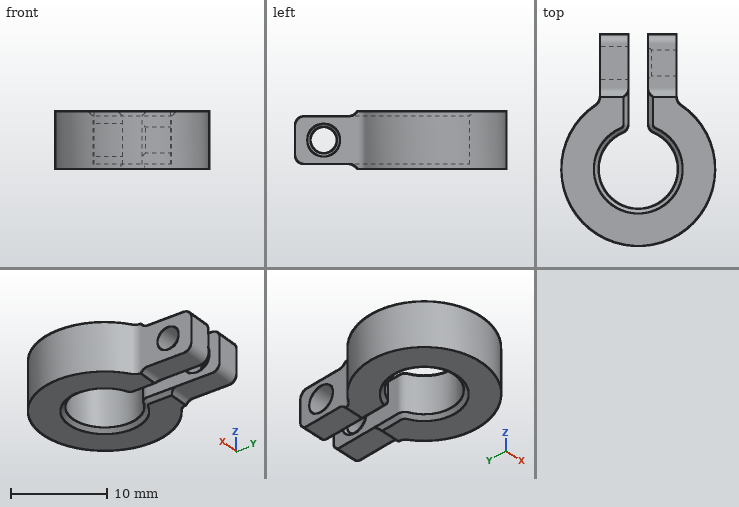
import cadquery as cq
import math

overall_length = 22.0
ring_diameter = 16.0
ring_height = 6.0
bore_diameter = 8.2
slot_width = 2.0
lug_thickness = 3.0
lug_height = 5.0
blend_radius = 1.0
clearance_hole_diameter = 3.4
screw_hole_diameter = 2.7
screw_end_distance = 3.0

ring_radius = ring_diameter / 2
bore_radius = bore_diameter / 2
slot_half = slot_width / 2
lug_outer_x = slot_half + lug_thickness
lug_end_y = overall_length - ring_radius
lug_half_height = lug_height / 2
half_height = ring_height / 2
shoulder_step = half_height - lug_half_height
inner_chamfer = shoulder_step
screw_y = lug_end_y - screw_end_distance
screw_chamfer = (clearance_hole_diameter - screw_hole_diameter) / 2


def block(half_width):
    """Full-height block from the ring axis to the lug ends."""
    return cq.Workplane("XY").box(2 * half_width, lug_end_y, ring_height, centered=(True, False, True))


def vertical_edges_at(body, radius, half_width):
    """Vertical edges where a block side of the given half width meets a cylinder."""
    y = math.sqrt(radius**2 - half_width**2)
    edges = body.edges(cq.selectors.NearestToPointSelector((half_width, y, 0)))
    return edges.add(body.edges(cq.selectors.NearestToPointSelector((-half_width, y, 0))))


def clamp_blank():
    """Full-height split ring with lugs, blended and chamfered along its inner outline."""
    body = cq.Workplane("XY").circle(ring_radius).extrude(half_height, both=True)
    body = body.union(block(lug_outer_x))
    body = vertical_edges_at(body, ring_radius, lug_outer_x).fillet(blend_radius)
    bore = cq.Workplane("XY").circle(bore_radius).extrude(half_height, both=True)
    body = body.cut(bore).cut(block(slot_half))
    body = vertical_edges_at(body, bore_radius, slot_half).fillet(blend_radius)

    for z in (-half_height, half_height):
        slot_edge = cq.selectors.NearestToPointSelector((slot_half, lug_end_y / 2, z))
        body = body.edges(slot_edge).chamfer(inner_chamfer)
    return body


def side_envelope():
    """Side profile: full-height ring, sloped shoulders and lower, rounded lugs."""
    shoulder_top_y = ring_radius - shoulder_step
    body = (
        cq.Workplane("YZ")
        .moveTo(-ring_radius, -half_height)
        .lineTo(shoulder_top_y, -half_height)
        .lineTo(ring_radius, -lug_half_height)
        .lineTo(lug_end_y, -lug_half_height)
        .lineTo(lug_end_y, lug_half_height)
        .lineTo(ring_radius, lug_half_height)
        .lineTo(shoulder_top_y, half_height)
        .lineTo(-ring_radius, half_height)
        .close()
        .extrude(ring_radius, both=True)
    )
    body = body.edges("|X and >Y").fillet(blend_radius)
    for z in (-lug_half_height, lug_half_height):
        shoulder_root = cq.selectors.NearestToPointSelector((0, ring_radius, z))
        body = body.edges(shoulder_root).fillet(blend_radius)
    return body


def screw_passage():
    """Clearance hole in the -X lug and a smaller hole, chamfered at the slot, in the +X lug."""
    return (
        cq.Workplane("XY")
        .moveTo(-lug_outer_x, screw_y)
        .lineTo(-lug_outer_x, screw_y + clearance_hole_diameter / 2)
        .lineTo(slot_half, screw_y + clearance_hole_diameter / 2)
        .lineTo(slot_half + screw_chamfer, screw_y + screw_hole_diameter / 2)
        .lineTo(lug_outer_x, screw_y + screw_hole_diameter / 2)
        .lineTo(lug_outer_x, screw_y)
        .close()
        .revolve(360, (0, screw_y, 0), (1, screw_y, 0))
    )


result = clamp_blank().intersect(side_envelope()).cut(screw_passage())